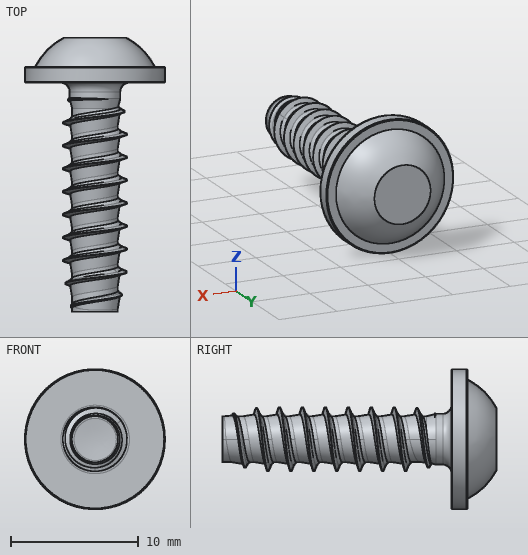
import cadquery as cq
import math


length = 21.5
flange_radius = 5.5
flange_top = 2.28
flange_bottom = 3.55
flange_chamfer = 0.09
dome_top_radius = 2.43
dome_base_radius = 4.69
neck_radius = 2.0
neck_fillet = 0.69
neck_end = 4.77
core_start = 5.53
core_radius = 1.8
core_overrun = 2.15
tip_dish_radius = 1.65
tip_dish_depth = 0.1

six_turn_length = 10.8
pitch = six_turn_length / 6
turn_zero_depth = 5.78
first_depth = 4.82
lead_turn = (first_depth - turn_zero_depth) / pitch
crest_radius = 2.52
crest_half_width = 0.02
sink_depth = 0.1
sunk_radius = core_radius - sink_depth
blade_head_foot = 0.52
blade_tip_foot = 0.25
flank_kink_offset = 0.2
flank_kink_radius = 2.09
root_peak_radius = 1.98
root_taper_length = 1.05
least_height = 0.05

blade_ramp = (-1.4, 0.4, 7.1, 8.9)
root_ramp = (-0.6, 0.0, 8.0, 8.7)
points_per_turn = 20


def dome_mid_point():
    """Point halfway up the dome arc, whose centre is on the screw axis."""
    centre = (dome_base_radius**2 - dome_top_radius**2 + flange_top**2) / (2 * flange_top)
    sphere_radius = math.hypot(dome_top_radius, centre)
    depth = flange_top / 2
    return math.sqrt(sphere_radius**2 - (centre - depth) ** 2), -depth


def body():
    """Head, neck and thread core as one turned shape, with the core overrunning the tip."""
    fillet_reach = neck_fillet * (1 - math.sqrt(0.5))
    return (
        cq.Workplane("XY")
        .lineTo(dome_top_radius, 0)
        .threePointArc(dome_mid_point(), (dome_base_radius, -flange_top))
        .lineTo(flange_radius - flange_chamfer, -flange_top)
        .lineTo(flange_radius, -flange_top - flange_chamfer)
        .lineTo(flange_radius, -flange_bottom + flange_chamfer)
        .lineTo(flange_radius - flange_chamfer, -flange_bottom)
        .lineTo(neck_radius + neck_fillet, -flange_bottom)
        .threePointArc(
            (neck_radius + fillet_reach, -flange_bottom - fillet_reach),
            (neck_radius, -flange_bottom - neck_fillet),
        )
        .lineTo(neck_radius, -neck_end)
        .lineTo(core_radius, -core_start)
        .lineTo(core_radius, -length - core_overrun)
        .lineTo(0, -length - core_overrun)
        .close()
        .revolve(360, (0, 0, 0), (0, 1, 0))
    )


def beyond_tip():
    """Everything past the tip, with the low dome that leaves the shallow dish in the end."""
    dish_sphere = (tip_dish_radius**2 + tip_dish_depth**2) / (2 * tip_dish_depth)
    mid_angle = math.asin(tip_dish_radius / dish_sphere) / 2
    dome_middle = (
        dish_sphere * math.sin(mid_angle),
        -length + tip_dish_depth - dish_sphere * (1 - math.cos(mid_angle)),
    )
    far_end = -length - 2 * core_overrun
    return (
        cq.Workplane("XY")
        .moveTo(0, -length + tip_dish_depth)
        .threePointArc(dome_middle, (tip_dish_radius, -length))
        .lineTo(flange_radius, -length)
        .lineTo(flange_radius, far_end)
        .lineTo(0, far_end)
        .close()
        .revolve(360, (0, 0, 0), (0, 1, 0))
    )


def ridge_height(turn, ramp):
    """Share of the full ridge height at a turn: rises, stays full, then fades."""
    start, full, fade, end = ramp
    rise = (turn - start) / (full - start)
    fall = (end - turn) / (end - fade)
    return least_height + (1 - least_height) * min(1, rise, fall)


def helix_point(turn, offset, radius, ramp):
    """Point of a ridge corner, its radius scaled up from the sunk base."""
    depth = max(first_depth, turn_zero_depth + pitch * turn) + offset
    scaled = sunk_radius + (radius - sunk_radius) * ridge_height(turn, ramp)
    angle = 2 * math.pi * turn
    return cq.Vector(scaled * math.cos(angle), -depth, scaled * math.sin(angle))


def stations(ramp):
    """Turn numbers that split a ridge: bends of its ramps and lead, and each -Z crossing between."""
    start, full, fade, end = ramp
    crossings = [whole + 0.75 for whole in range(math.floor(full), math.floor(fade))]
    bends = {start, full, fade, end, *crossings}
    if start < lead_turn:
        bends.add(lead_turn)
    return sorted(bends)


def helical_ridge(profile, ramp):
    """Solid ridge with ruled faces between the helical paths of the (offset, radius) corners."""
    faces = []
    turns = stations(ramp)
    for start, end in zip(turns, turns[1:]):
        steps = math.ceil((end - start) * points_per_turn)
        path = [start + (end - start) * i / steps for i in range(steps + 1)]
        edges = [
            cq.Edge.makeSpline([helix_point(turn, offset, radius, ramp) for turn in path])
            for offset, radius in profile
        ]
        for first, second in zip(edges, edges[1:] + edges[:1]):
            faces.append(cq.Face.makeRuledSurface(first, second))
    for turn in (turns[0], turns[-1]):
        corners = [helix_point(turn, offset, radius, ramp) for offset, radius in profile]
        faces.append(cq.Face.makeFromWires(cq.Wire.makePolygon(corners, close=True)))
    return cq.Workplane(cq.Solid.makeSolid(cq.Shell.makeShell(faces)).fix())


blade_profile = [
    (-blade_head_foot, sunk_radius),
    (-flank_kink_offset, flank_kink_radius),
    (-crest_half_width, crest_radius),
    (crest_half_width, crest_radius),
    (blade_tip_foot, sunk_radius),
]
root_slope = (root_peak_radius - core_radius) / root_taper_length
root_foot = (root_peak_radius - sunk_radius) / root_slope
root_profile = [
    (0, sunk_radius),
    (0, root_peak_radius),
    (root_foot, sunk_radius),
]

blade = helical_ridge(blade_profile, blade_ramp)
root = helical_ridge(root_profile, root_ramp)
threaded = body().union(root).union(blade)
result = cq.Workplane(threaded.cut(beyond_tip()).solids().val())